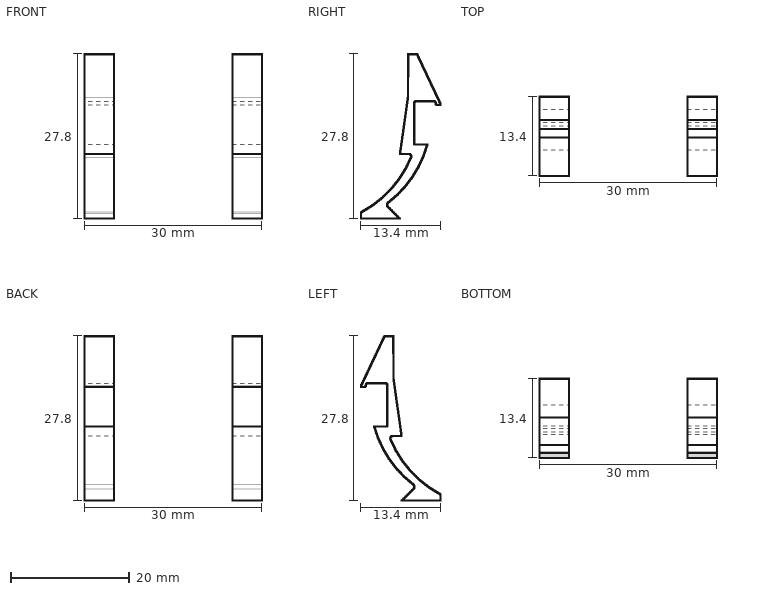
import cadquery as cq
import math

span = 30.0
clip_width = 5.0
clip_height = 27.8

head_front_y = 7.98
head_top_depth = 1.5
bend_y = 7.92
bend_z = 20.5
hook_tip_y = 13.55
hook_tip_z = 19.17
lip_width = 0.95
hook_underside_z = 19.83
tip_radius = 0.18
hook_radius = 0.3

stem_back_y = 9.03
shelf_z = 12.55
heel_y = 6.57
heel_z = 10.92
heel_radius = 0.42

leg_radius = 18.48
leg_shift = 2.05
leg_center_z = 17.4
leg_front_center_y = -8.65
leg_back_center_y = leg_front_center_y + leg_shift

foot_back_y = 6.57
toe_radius = 0.25
ankle_radius = 0.5


def leg_y(center_y, z):
    """Y of a leg arc at height z."""
    return center_y + math.sqrt(leg_radius**2 - (z - leg_center_z) ** 2)


def leg_z(center_y, y):
    """Z of the lower half of a leg arc at depth y."""
    return leg_center_z - math.sqrt(leg_radius**2 - (y - center_y) ** 2)


def leg_middle(center_y, start, end):
    """Point on a leg arc halfway in angle between two of its points."""
    angles = [math.atan2(z - leg_center_z, y - center_y) for y, z in (start, end)]
    angle = sum(angles) / 2
    return (center_y + leg_radius * math.cos(angle), leg_center_z + leg_radius * math.sin(angle))


def ankle_point():
    """Where the 45 degree foot face, z = foot_back_y - y, meets the back leg arc."""
    across = (foot_back_y - leg_back_center_y - leg_center_z) / math.sqrt(2)
    along = math.sqrt(leg_radius**2 - across**2)
    y = leg_back_center_y + (across + along) / math.sqrt(2)
    return (y, foot_back_y - y)


def make_clip(x_start):
    """One clip: the side profile extruded along +X, with its corners rounded."""
    toe = (0, leg_z(leg_front_center_y, 0))
    heel_corner = (leg_y(leg_front_center_y, heel_z), heel_z)
    shelf_edge = (leg_y(leg_back_center_y, shelf_z), shelf_z)
    ankle = ankle_point()
    lip_corner = (hook_tip_y - lip_width, hook_underside_z)
    lip_bottom = (hook_tip_y - lip_width, hook_tip_z)
    hook_tip = (hook_tip_y, hook_tip_z)
    hook_corner = (stem_back_y, hook_underside_z)

    clip = (
        cq.Workplane("YZ", origin=(x_start, 0, 0))
        .moveTo(0, 0)
        .lineTo(*toe)
        .threePointArc(leg_middle(leg_front_center_y, toe, heel_corner), heel_corner)
        .lineTo(heel_y, heel_z)
        .lineTo(bend_y, bend_z)
        .lineTo(head_front_y, clip_height)
        .lineTo(head_front_y + head_top_depth, clip_height)
        .lineTo(*hook_tip)
        .lineTo(*lip_bottom)
        .lineTo(*lip_corner)
        .lineTo(*hook_corner)
        .lineTo(stem_back_y, shelf_z)
        .lineTo(*shelf_edge)
        .threePointArc(leg_middle(leg_back_center_y, shelf_edge, ankle), ankle)
        .lineTo(foot_back_y, 0)
        .close()
        .extrude(clip_width)
    )

    rounded_corners = [
        (toe, toe_radius),
        (heel_corner, heel_radius),
        (hook_tip, tip_radius),
        (lip_bottom, hook_radius),
        (lip_corner, hook_radius),
        (hook_corner, hook_radius),
        (ankle, ankle_radius),
    ]
    for (y, z), radius in rounded_corners:
        edge_middle = (x_start + clip_width / 2, y, z)
        corner_edge = cq.selectors.NearestToPointSelector(edge_middle)
        clip = clip.edges("|X").edges(corner_edge).fillet(radius)
    return clip


clips = [make_clip(x_start) for x_start in (-span / 2, span / 2 - clip_width)]

result = cq.Compound.makeCompound([clip.val() for clip in clips])